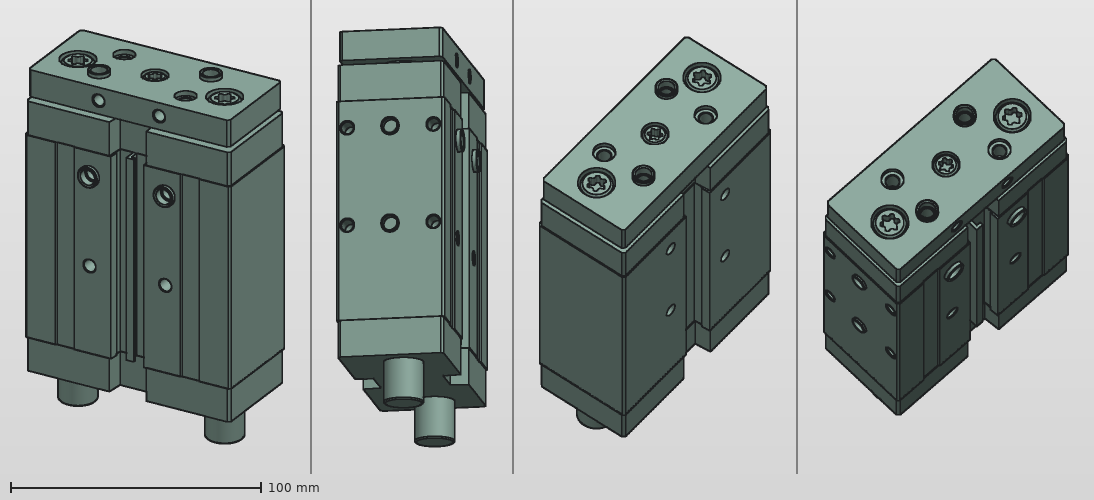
import cadquery as cq
import math


ROD_END_Z = 0.0
HOUSING_BOTTOM_Z = 17.0
HOUSING_LENGTH = 120.0
END_LENGTH = 15.0
PLATE_GAP = 2.0
PLATE_THICKNESS = 11.9
HOUSING_TOP_Z = HOUSING_BOTTOM_Z + HOUSING_LENGTH
PLATE_BOTTOM_Z = HOUSING_TOP_Z + PLATE_GAP
PLATE_TOP_Z = PLATE_BOTTOM_Z + PLATE_THICKNESS

BODY_WIDTH = 95.0
BODY_DEPTH = 43.9
STEP = 0.5
CORNER_CHAMFER = 1.0
BODY_CORNER_CHAMFER = 0.9
END_WIDTH = BODY_WIDTH - 2 * STEP
END_DEPTH = BODY_DEPTH - 2 * STEP
PLATE_STEP = 0.6
PLATE_WIDTH = END_WIDTH - 2 * PLATE_STEP
PLATE_DEPTH = END_DEPTH - 2 * PLATE_STEP

END_GROOVE_MOUTH = 17.1
END_GROOVE_FLOOR = 15.9
END_GROOVE_DEPTH = 7.3
BODY_GROOVE_MOUTH = 15.3
BODY_GROOVE_NECK = 14.7
BODY_GROOVE_NECK_DEPTH = 4.0
BODY_GROOVE_FLOOR = END_GROOVE_FLOOR
BODY_GROOVE_DEPTH = 8.1

LIP_LEFT_X = -1.8
LIP_WIDTH = 3.4
LIP_SUNK = 2.3
LIP_THICKNESS = 1.5

SLOT_MOUTH = 8.9
SLOT_FLOOR = 8.0
SLOT_DEPTH = 0.8
SLOT_X = 28.9

ROW_HIGH_Z = 111.0
ROW_PITCH = 40.0
ROW_LOW_Z = ROW_HIGH_Z - ROW_PITCH
HOLE_PITCH = 35.0

THROUGH_DIAMETER = 5.3
THROUGH_MOUTH = 6.0

THREAD_DIAMETER = 4.9
THREAD_MOUTH = 5.8
THREAD_DEPTH = 9.2
DRILL_ANGLE = 118.0

SLEEVE_DIAMETER = 9.0
SLEEVE_BORE = 6.7
SLEEVE_SEAT_DEPTH = 2.1
SLEEVE_PROUD = 2.0
SLEEVE_OUTER_EDGE = 0.3
SLEEVE_INNER_EDGE = 0.8

INNER_EDGE_SLOPE = 0.5

PORT_RING_DIAMETER = 7.2
PORT_RING_BORE = 6.0
PORT_RING_PROUD = 1.2
PORT_RING_OUTER_EDGE = 0.3
PORT_RING_INNER_EDGE = 0.2
PORT_DEPTH = 2.1

GUIDE_DIAMETER = 16.0
GUIDE_PITCH = 67.8
GUIDE_Y = -2.9
GUIDE_END_CHAMFER = 0.6
NECK_DIAMETER = 8.9
PISTON_ROD_DIAMETER = 10.0
PISTON_ROD_DEPTH = 15.3

GUIDE_HEAD_DIAMETER = 13.1
GUIDE_RECESS_DIAMETER = 15.0
GUIDE_SOCKET_DIAMETER = 8.0
CENTRE_HEAD_DIAMETER = 10.0
CENTRE_RECESS_DIAMETER = 11.0
CENTRE_SOCKET_DIAMETER = 6.1
GUIDE_SOCKET_TURN = 90
CENTRE_SOCKET_TURN = 0
HEAD_SUNK = 0.5
HEAD_EDGE = 0.9
RECESS_DEPTH = 6.9
SOCKET_DEPTH = 4.6
SOCKET_NOTCH_RATIO = 0.72
SOCKET_LOBES = 6

PLATE_HOLE_PITCH_X = 40.0
PLATE_HOLE_PITCH_Y = 20.0
PLATE_SIDE_HOLE_PITCH = 28.0

GUIDE_X = [-GUIDE_PITCH / 2, GUIDE_PITCH / 2]
HOLE_OFFSETS = [-HOLE_PITCH / 2, HOLE_PITCH / 2]
ROW_Z = [ROW_LOW_Z, ROW_HIGH_Z]
SLEEVE_CORNERS = [(-1, -1), (1, 1)]
OPEN_CORNERS = [(-1, 1), (1, -1)]
UP = (0, 0, 1)
DOWN = (0, 0, -1)


def cylinder(diameter, length, start, direction):
    return cq.Workplane(cq.Solid.makeCylinder(diameter / 2, length, cq.Vector(*start), cq.Vector(*direction)))


def block(width, depth, bottom, height, corner_chamfer):
    """Upright block centred on the Z axis, with chamfered vertical edges."""
    base = cq.Workplane("XY").workplane(offset=bottom).rect(width, depth).extrude(height)
    return base.edges("|Z").chamfer(corner_chamfer)


def box(x_low, x_high, y_low, y_high, z_low, z_high):
    corner = cq.Vector(x_low, y_low, z_low)
    return cq.Workplane(cq.Solid.makeBox(x_high - x_low, y_high - y_low, z_high - z_low, corner))


def channel(x_middle, mouth_width, floor_width, mouth_y, floor_y, z_low, z_high):
    """Straight-floored channel along Z, open at mouth_y, with sloping walls."""
    outline = [
        (x_middle - mouth_width / 2, mouth_y),
        (x_middle + mouth_width / 2, mouth_y),
        (x_middle + floor_width / 2, floor_y),
        (x_middle - floor_width / 2, floor_y),
    ]
    return cq.Workplane("XY").workplane(offset=z_low).polyline(outline).close().extrude(z_high - z_low)


def mouthed_hole(diameter, mouth_diameter, depth, start, direction):
    """Hole with a 45-degree countersunk mouth."""
    mouth_depth = (mouth_diameter - diameter) / 2
    mouth = cq.Solid.makeCone(
        mouth_diameter / 2, diameter / 2, mouth_depth, cq.Vector(*start), cq.Vector(*direction)
    )
    return cylinder(diameter, depth, start, direction).union(cq.Workplane(mouth))


def thread_hole(start, direction):
    """Blind hole with a countersunk mouth and a drill-point bottom."""
    axis = cq.Vector(*direction)
    radius = THREAD_DIAMETER / 2
    point_depth = radius / math.tan(math.radians(DRILL_ANGLE / 2))
    point = cq.Solid.makeCone(radius, 0, point_depth, cq.Vector(*start) + axis * THREAD_DEPTH, axis)
    hole = mouthed_hole(THREAD_DIAMETER, THREAD_MOUTH, THREAD_DEPTH, start, direction)
    return hole.union(cq.Workplane(point))


def ring(diameter, bore, seat_depth, proud, outer_edge, inner_edge, surface_point, outward):
    """Ring seated in a recess of the surface, standing proud of it.

    The outer rim has a 45-degree chamfer and the inner rim a shallow cone.
    """
    length = seat_depth + proud
    section = [
        (bore / 2, 0),
        (diameter / 2, 0),
        (diameter / 2, length - outer_edge),
        (diameter / 2 - outer_edge, length),
        (bore / 2 + inner_edge, length),
        (bore / 2, length - inner_edge * INNER_EDGE_SLOPE),
    ]
    bottom = cq.Vector(*surface_point) - cq.Vector(*outward) * seat_depth
    across = cq.Vector(-outward[1], outward[0] - outward[2], 0)
    plane = cq.Plane(origin=bottom, xDir=across, normal=across.cross(cq.Vector(*outward)))
    return cq.Workplane(plane).polyline(section).close().revolve(360, (0, 0, 0), (0, 1, 0))


def socket(diameter, top, x, y, turn):
    """Six-lobed drive socket; turn is the angle of the first lobe in degrees."""

    def point(radius, degrees):
        angle = math.radians(degrees)
        return (radius * math.cos(angle), radius * math.sin(angle))

    pitch = 360.0 / SOCKET_LOBES
    lobe = diameter / 2
    notch = lobe * SOCKET_NOTCH_RATIO
    flank = (lobe + notch) / 2
    outline = cq.Workplane("XY", origin=(x, y, top)).moveTo(*point(flank, turn - pitch / 4))
    for index in range(SOCKET_LOBES):
        middle = turn + index * pitch
        outline = outline.threePointArc(point(lobe, middle), point(flank, middle + pitch / 4))
        outline = outline.threePointArc(
            point(notch, middle + pitch / 2), point(flank, middle + pitch * 3 / 4)
        )
    return outline.close().extrude(-SOCKET_DEPTH)


def screw_head(diameter, x, y, socket_diameter, turn):
    bottom = PLATE_TOP_Z - RECESS_DEPTH
    head = cylinder(diameter, RECESS_DEPTH - HEAD_SUNK, (x, y, bottom), UP)
    head = head.faces(">Z").edges().chamfer(HEAD_EDGE)
    return head.cut(socket(socket_diameter, PLATE_TOP_Z - HEAD_SUNK, x, y, turn))


def make_end(bottom):
    """Housing end with a tapered groove front and back."""
    top = bottom + END_LENGTH
    end = block(END_WIDTH, END_DEPTH, bottom, END_LENGTH, CORNER_CHAMFER)
    for side in (-1, 1):
        mouth_y = side * END_DEPTH / 2
        floor_y = mouth_y - side * END_GROOVE_DEPTH
        end = end.cut(channel(0, END_GROOVE_MOUTH, END_GROOVE_FLOOR, mouth_y, floor_y, bottom, top))
    return end


def make_body(bottom, top):
    """Middle section with grooves front and back, a sensor lip and two shallow slots."""
    body = block(BODY_WIDTH, BODY_DEPTH, bottom, top - bottom, BODY_CORNER_CHAMFER)
    for side in (-1, 1):
        mouth_y = side * BODY_DEPTH / 2
        neck_y = mouth_y - side * BODY_GROOVE_NECK_DEPTH
        floor_y = mouth_y - side * BODY_GROOVE_DEPTH
        body = body.cut(channel(0, BODY_GROOVE_MOUTH, BODY_GROOVE_NECK, mouth_y, neck_y, bottom, top))
        body = body.cut(channel(0, BODY_GROOVE_FLOOR, BODY_GROOVE_FLOOR, neck_y, floor_y, bottom, top))

    front = -BODY_DEPTH / 2
    for x in (-SLOT_X, SLOT_X):
        body = body.cut(channel(x, SLOT_MOUTH, SLOT_FLOOR, front, front + SLOT_DEPTH, bottom, top))

    lip_front = front + LIP_SUNK
    web = box(LIP_LEFT_X, LIP_LEFT_X + LIP_THICKNESS, lip_front, front + BODY_GROOVE_DEPTH, bottom, top)
    lip = box(LIP_LEFT_X, LIP_LEFT_X + LIP_WIDTH, lip_front, lip_front + LIP_THICKNESS, bottom, top)
    return body.union(web.union(lip))


def make_housing():
    front = -BODY_DEPTH / 2
    body_bottom = HOUSING_BOTTOM_Z + END_LENGTH
    body_top = HOUSING_TOP_Z - END_LENGTH
    housing = make_body(body_bottom, body_top).union(make_end(HOUSING_BOTTOM_Z)).union(make_end(body_top))

    for x in GUIDE_X:
        bore = cylinder(GUIDE_DIAMETER, HOUSING_LENGTH, (x, GUIDE_Y, HOUSING_BOTTOM_Z), UP)
        housing = housing.cut(bore)
    housing = housing.cut(cylinder(PISTON_ROD_DIAMETER, PISTON_ROD_DEPTH, (0, 0, HOUSING_TOP_Z), DOWN))

    for x in HOLE_OFFSETS:
        for z in ROW_Z:
            seat_depth = SLEEVE_SEAT_DEPTH if z == ROW_HIGH_Z else 0
            start = (x, front + seat_depth, z)
            hole = mouthed_hole(THROUGH_DIAMETER, THROUGH_MOUTH, BODY_DEPTH, start, (0, 1, 0))
            housing = housing.cut(hole)
        seat = cylinder(SLEEVE_DIAMETER, SLEEVE_SEAT_DEPTH, (x, front, ROW_HIGH_Z), (0, 1, 0))
        housing = housing.cut(seat)

    side_x = -BODY_WIDTH / 2
    for z in ROW_Z:
        for y in HOLE_OFFSETS:
            housing = housing.cut(thread_hole((side_x, y, z), (1, 0, 0)))
        housing = housing.cut(cylinder(PORT_RING_DIAMETER, PORT_DEPTH, (side_x, 0, z), (1, 0, 0)))
    return housing


def make_plate():
    """Yoke plate together with the piston rod that carries it."""
    plate = block(PLATE_WIDTH, PLATE_DEPTH, PLATE_BOTTOM_Z, PLATE_THICKNESS, CORNER_CHAMFER)

    for x in GUIDE_X:
        top = (x, GUIDE_Y, PLATE_TOP_Z)
        plate = plate.cut(cylinder(GUIDE_RECESS_DIAMETER, RECESS_DEPTH, top, DOWN))
        plate = plate.cut(cylinder(NECK_DIAMETER, PLATE_THICKNESS, top, DOWN))

    for side_x, side_y in SLEEVE_CORNERS + OPEN_CORNERS:
        top = (side_x * PLATE_HOLE_PITCH_X / 2, side_y * PLATE_HOLE_PITCH_Y / 2, PLATE_TOP_Z)
        start = (top[0], top[1], PLATE_TOP_Z - SLEEVE_SEAT_DEPTH)
        hole = mouthed_hole(THROUGH_DIAMETER, THROUGH_MOUTH, PLATE_THICKNESS, start, DOWN)
        plate = plate.cut(hole)
        plate = plate.cut(cylinder(SLEEVE_DIAMETER, SLEEVE_SEAT_DEPTH, top, DOWN))

    middle_z = PLATE_BOTTOM_Z + PLATE_THICKNESS / 2
    for side in (-1, 1):
        start = (side * PLATE_SIDE_HOLE_PITCH / 2, -PLATE_DEPTH / 2, middle_z)
        plate = plate.cut(thread_hole(start, (0, 1, 0)))

    rod_length = PLATE_GAP + PISTON_ROD_DEPTH
    plate = plate.union(cylinder(PISTON_ROD_DIAMETER, rod_length, (0, 0, PLATE_BOTTOM_Z), DOWN))
    plate = plate.cut(cylinder(CENTRE_RECESS_DIAMETER, RECESS_DEPTH, (0, 0, PLATE_TOP_Z), DOWN))
    return plate.union(screw_head(CENTRE_HEAD_DIAMETER, 0, 0, CENTRE_SOCKET_DIAMETER, CENTRE_SOCKET_TURN))


def make_guide_rod(x):
    """Guide rod with its neck and screw head through the plate."""
    rod = cylinder(GUIDE_DIAMETER, PLATE_BOTTOM_Z - ROD_END_Z, (x, GUIDE_Y, ROD_END_Z), UP)
    rod = rod.faces("<Z").edges().chamfer(GUIDE_END_CHAMFER)
    neck_length = PLATE_THICKNESS - RECESS_DEPTH
    rod = rod.union(cylinder(NECK_DIAMETER, neck_length, (x, GUIDE_Y, PLATE_BOTTOM_Z), UP))
    return rod.union(screw_head(GUIDE_HEAD_DIAMETER, x, GUIDE_Y, GUIDE_SOCKET_DIAMETER, GUIDE_SOCKET_TURN))


def make_sleeve(surface_point, outward):
    return ring(
        SLEEVE_DIAMETER, SLEEVE_BORE, SLEEVE_SEAT_DEPTH, SLEEVE_PROUD,
        SLEEVE_OUTER_EDGE, SLEEVE_INNER_EDGE, surface_point, outward,
    )


def make_front_sleeve(x):
    return make_sleeve((x, -BODY_DEPTH / 2, ROW_HIGH_Z), (0, -1, 0))


def make_plate_sleeve(side_x, side_y):
    point = (side_x * PLATE_HOLE_PITCH_X / 2, side_y * PLATE_HOLE_PITCH_Y / 2, PLATE_TOP_Z)
    return make_sleeve(point, UP)


def make_port_ring(z):
    return ring(
        PORT_RING_DIAMETER, PORT_RING_BORE, PORT_DEPTH, PORT_RING_PROUD,
        PORT_RING_OUTER_EDGE, PORT_RING_INNER_EDGE, (-BODY_WIDTH / 2, 0, z), (-1, 0, 0),
    )


housing = make_housing()
plate = make_plate()
guide_rods = [make_guide_rod(x) for x in GUIDE_X]
front_sleeves = [make_front_sleeve(x) for x in HOLE_OFFSETS]
plate_sleeves = [make_plate_sleeve(*corner) for corner in SLEEVE_CORNERS]
port_rings = [make_port_ring(z) for z in ROW_Z]

bodies = [housing, plate, *guide_rods, *front_sleeves, *plate_sleeves, *port_rings]
result = cq.Compound.makeCompound([body.val() for body in bodies])